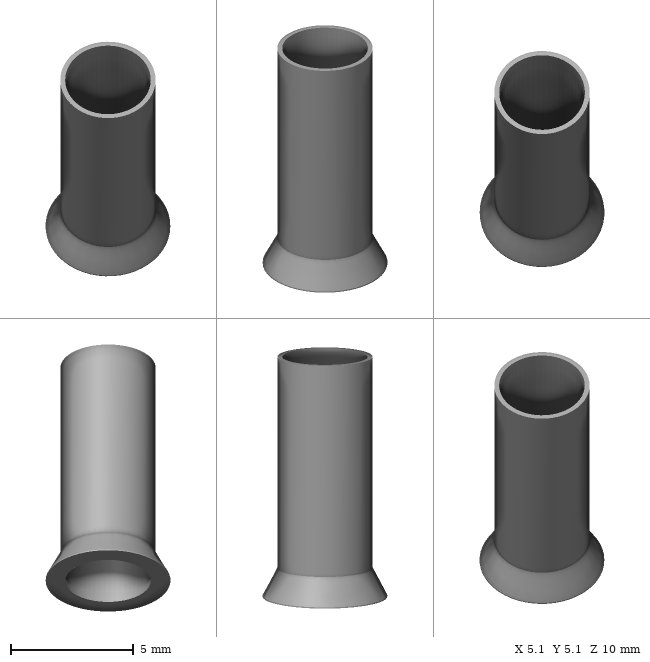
import cadquery as cq

total_length = 10.0
tube_diameter = 3.9
bore_diameter = 3.5
flare_diameter = 5.1
flare_height = 1.2
rim_height = 0.05

tube_radius = tube_diameter / 2
bore_radius = bore_diameter / 2
flare_radius = flare_diameter / 2


def make_sleeve():
    """Straight tube with a conical flare and a thin rim at its foot, around Z."""
    return (
        cq.Workplane("XZ")
        .moveTo(bore_radius, 0)
        .lineTo(flare_radius, 0)
        .lineTo(flare_radius, rim_height)
        .lineTo(tube_radius, flare_height)
        .lineTo(tube_radius, total_length)
        .lineTo(bore_radius, total_length)
        .close()
        .revolve(360, (0, 0, 0), (0, 1, 0))
    )


result = make_sleeve()